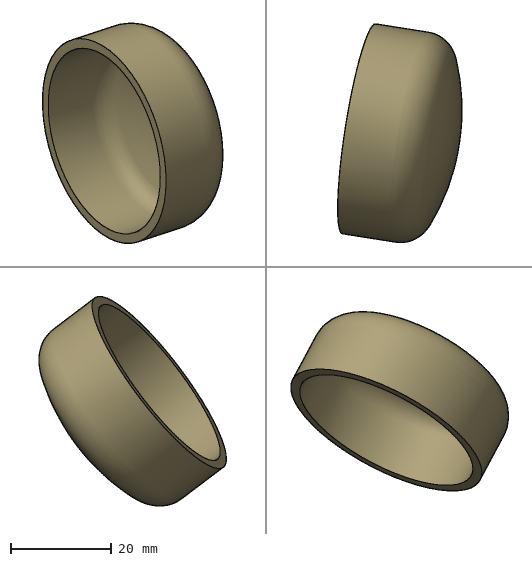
import cadquery as cq
import math

outer_diameter = 42.4
total_depth = 20.0
wall = 2.0
skirt_depth = 10.73
dome_radius = 44.5

outer_radius = outer_diameter / 2
dome_center = total_depth - dome_radius

center_gap = skirt_depth - dome_center
knuckle_radius = (dome_radius**2 - outer_radius**2 - center_gap**2) / (2 * (dome_radius - outer_radius))
knuckle_center = outer_radius - knuckle_radius
joint_angle = math.atan2(knuckle_center, center_gap)


def knuckle_point(offset, angle):
    """Point of the knuckle moved inward by offset, at an angle from the Y axis."""
    radius = knuckle_radius - offset
    return (knuckle_center + radius * math.sin(angle), skirt_depth + radius * math.cos(angle))


def dome_point(offset, angle):
    """Point of the dome moved inward by offset, at an angle from the Y axis."""
    radius = dome_radius - offset
    return (radius * math.sin(angle), dome_center + radius * math.cos(angle))


def domed_solid(offset):
    """Solid of revolution about Y whose skirt, knuckle and dome lie offset inside the outer surface."""
    knuckle_middle = (joint_angle + math.pi / 2) / 2
    return (
        cq.Workplane("XY")
        .lineTo(outer_radius - offset, 0)
        .lineTo(outer_radius - offset, skirt_depth)
        .threePointArc(knuckle_point(offset, knuckle_middle), knuckle_point(offset, joint_angle))
        .threePointArc(dome_point(offset, joint_angle / 2), dome_point(offset, 0))
        .close()
        .revolve(360, (0, 0, 0), (0, 1, 0))
    )


result = domed_solid(0).cut(domed_solid(wall))